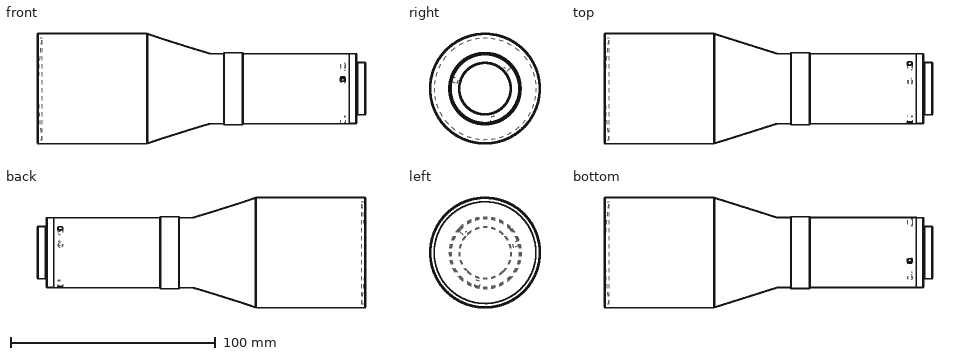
import cadquery as cq

LENGTH = 160.4
BARREL_END = 53.9
CONE_END = 84.4
COLLAR_START = 91.0
COLLAR_END = 100.5
CAP_START = 152.4
CAP_END = 156.0

CAP_STEP = 0.08
BARREL_RADIUS = 54.0 / 2
TUBE_RADIUS = 17.2
COLLAR_RADIUS = 17.6
CAP_RADIUS = TUBE_RADIUS - CAP_STEP
TAIL_RADIUS = 12.8
LENS_RADIUS = 24.9

EDGE_CHAMFER = 0.5
LENS_RECESS = 2.1
LENS_BULGE = 1.8

SCREW_DIAMETER = 2.4
SCREW_DEPTH = 3.2
SCREW_X = 149.2
SCREW_COUNT = 3
SCREW_START_ANGLE = 44.0


def cylinder(start, end, radius):
    """Make a cylinder along X between two stations."""
    return cq.Workplane("YZ").workplane(offset=start).circle(radius).extrude(end - start)


def make_cone():
    """Revolve the tapered transition."""
    base_radius = BARREL_RADIUS - EDGE_CHAMFER / 2
    outline = [
        (BARREL_END, 0),
        (BARREL_END, base_radius),
        (CONE_END, TUBE_RADIUS),
        (CONE_END, 0),
    ]
    return cq.Workplane("XY").polyline(outline).close().revolve(360, (0, 0, 0), (1, 0, 0))


def make_lens_recess():
    """Make the shallow front cavity, whose floor is the domed lens."""
    sphere_radius = (LENS_RADIUS**2 + LENS_BULGE**2) / (2 * LENS_BULGE)
    center_x = LENS_RECESS - LENS_BULGE + sphere_radius
    lens = cq.Workplane("XY").sphere(sphere_radius).translate((center_x, 0, 0))
    return cylinder(0, LENS_RECESS, LENS_RADIUS).cut(lens)


def make_screw_hole(angle):
    """Make one radial blind hole at an angle around the X axis."""
    return (
        cq.Workplane("XZ", origin=(SCREW_X, TUBE_RADIUS - SCREW_DEPTH, 0))
        .circle(SCREW_DIAMETER / 2)
        .extrude(-2 * SCREW_DEPTH)
        .rotate((0, 0, 0), (1, 0, 0), angle)
    )


barrel = cylinder(0, BARREL_END, BARREL_RADIUS).edges().chamfer(EDGE_CHAMFER)
neck_and_tube = cylinder(CONE_END, CAP_START, TUBE_RADIUS)
collar = cylinder(COLLAR_START, COLLAR_END, COLLAR_RADIUS).edges().chamfer(EDGE_CHAMFER)
cap = cylinder(CAP_START, CAP_END, CAP_RADIUS).edges(">X").chamfer(EDGE_CHAMFER)
tail = cylinder(CAP_END, LENGTH, TAIL_RADIUS).edges().chamfer(EDGE_CHAMFER)

result = barrel.union(make_cone())
for section in (neck_and_tube, collar, cap, tail):
    result = result.union(section)

result = result.cut(make_lens_recess())
for index in range(SCREW_COUNT):
    result = result.cut(make_screw_hole(SCREW_START_ANGLE + index * 360 / SCREW_COUNT))